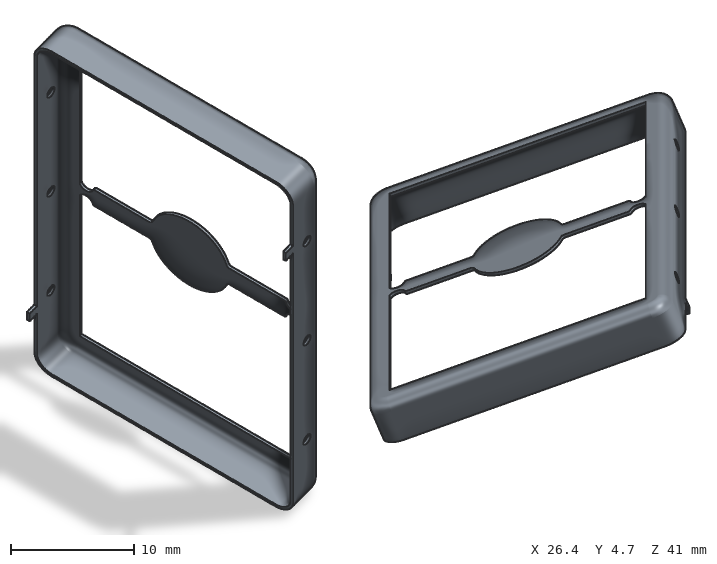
import cadquery as cq

width = 26.4
height = 41.0
overall_depth = 4.7
tab_length = 1.0
tray_depth = overall_depth - tab_length
wall = 0.3
corner_radius = 1.8
floor_edge_radius = 1.0

window_margin = 2.0
window_width = width - 2 * window_margin
window_height = height - 2 * window_margin

strap_width = 2.0
disc_diameter = 8.0
disc_blend_radius = 0.3
notch_radius = 0.7
notch_inset = 0.65
notch_blend_radius = 0.2

hole_diameter = 1.0
hole_pitch = 12.5
tab_width = 1.0
tab_height_offset = 13.2

front_y = -overall_depth / 2 + tab_length
back_y = overall_depth / 2


def rounded_block(offset, start_y):
    """Tray outline moved inwards by offset, from start_y to the inset floor, with its back edge rounded."""
    end_y = back_y - offset
    return (
        cq.Workplane("XZ", origin=(0, end_y, 0))
        .rect(width - 2 * offset, height - 2 * offset)
        .extrude(end_y - start_y)
        .edges("|Y")
        .fillet(corner_radius - offset)
        .faces(">Y")
        .edges()
        .fillet(floor_edge_radius - offset)
    )


def floor_plane():
    return cq.Workplane("XZ", origin=(0, back_y, 0))


def make_tray():
    tray = rounded_block(0, front_y).cut(rounded_block(wall, front_y))
    window = floor_plane().rect(window_width, window_height).extrude(tray_depth)
    return tray.cut(window)


def make_strap():
    """Central disc on a strap, necked down by round notches next to the frame."""
    strap = floor_plane().rect(window_width, strap_width).extrude(wall)
    disc = floor_plane().circle(disc_diameter / 2).extrude(wall)
    joints = cq.selectors.BoxSelector(
        (-disc_diameter / 2, back_y - wall, -strap_width),
        (disc_diameter / 2, back_y, strap_width),
    )
    body = strap.union(disc).edges("|Y").edges(joints).fillet(disc_blend_radius)
    notch_x = window_width / 2 - notch_inset
    notches = (
        floor_plane()
        .rect(2 * notch_x, strap_width, forConstruction=True)
        .vertices()
        .circle(notch_radius)
        .extrude(wall)
    )
    necked = body.cut(notches)
    corner_x = notch_x - notch_radius
    for side in (-1, 1):
        corners = cq.selectors.BoxSelector(
            (side * corner_x - wall, back_y - wall, -strap_width),
            (side * corner_x + wall, back_y, strap_width),
        )
        necked = necked.edges("|Y").edges(corners).fillet(notch_blend_radius)
    return necked


def make_side_holes():
    """Three holes drilled along X through both side walls, halfway along the tray depth."""
    hole_y = (front_y + back_y) / 2
    positions = [(hole_y, row * hole_pitch) for row in (-1, 0, 1)]
    return (
        cq.Workplane("YZ", origin=(-width / 2, 0, 0))
        .pushPoints(positions)
        .circle(hole_diameter / 2)
        .extrude(width)
    )


def make_tab(side):
    """Tab flush with a side wall: low on the -X side (-1), high on the +X side (+1)."""
    tab_center = (side * (width - wall) / 2, front_y - tab_length / 2, side * tab_height_offset)
    return cq.Workplane("XY", origin=tab_center).box(wall, tab_length, tab_width)


result = make_tray().union(make_strap()).cut(make_side_holes())
for side in (-1, 1):
    result = result.union(make_tab(side))